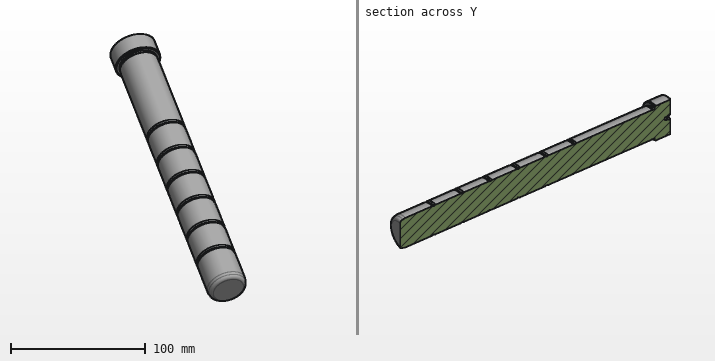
import cadquery as cq
import math

length = 240.0
head_length = 14.0
head_radius = 17.5
head_chamfer = 0.7
shank_diameter = 30.0
shank_radius = shank_diameter / 2

relief_depth = 0.2
relief_floor = 1.7
relief_ramp = 0.7

groove_count = 6
first_groove_x = 85.0
last_groove_x = 210.0
groove_pitch = (last_groove_x - first_groove_x) / (groove_count - 1)
groove_width = 3.0
groove_depth = 0.6

taper_length = 4.8
taper_drop = 0.6
tip_round = 2.6

center_mouth_radius = 2.6
center_mouth_angle = 60
pilot_radius = 1.2
pilot_length = 2.0
drill_tip_angle = 120


def turned_body():
    """Revolve the head, relief, shank and rounded tip about the X axis."""
    relief_end = head_length + relief_floor
    taper_end_radius = shank_radius - taper_drop
    half_profile = (
        cq.Workplane("XZ")
        .moveTo(0, 0)
        .lineTo(0, head_radius)
        .lineTo(head_length - head_chamfer, head_radius)
        .lineTo(head_length, head_radius - head_chamfer)
        .lineTo(head_length, shank_radius - relief_depth)
        .lineTo(relief_end, shank_radius - relief_depth)
        .lineTo(relief_end + relief_ramp, shank_radius)
        .lineTo(length - taper_length, shank_radius)
        .lineTo(length - tip_round, taper_end_radius)
        .radiusArc((length, taper_end_radius - tip_round), tip_round)
        .lineTo(length, 0)
        .close()
    )
    return half_profile.revolve(360, (0, 0, 0), (1, 0, 0))


def oil_groove(center_x):
    """Ring that cuts one V-shaped groove around the shank."""
    outer_radius = shank_radius + groove_depth
    start_x = center_x - groove_width / 2
    end_x = center_x + groove_width / 2
    section = (
        cq.Workplane("XZ")
        .moveTo(start_x, outer_radius)
        .lineTo(start_x, shank_radius)
        .lineTo(center_x, shank_radius - groove_depth)
        .lineTo(end_x, shank_radius)
        .lineTo(end_x, outer_radius)
        .close()
    )
    return section.revolve(360, (0, 0, 0), (1, 0, 0))


def center_hole():
    """Cutter for the countersunk pilot hole in the head face."""
    mouth_depth = (center_mouth_radius - pilot_radius) / math.tan(math.radians(center_mouth_angle / 2))
    pilot_end = mouth_depth + pilot_length
    tip_depth = pilot_radius / math.tan(math.radians(drill_tip_angle / 2))
    section = (
        cq.Workplane("XZ")
        .moveTo(0, 0)
        .lineTo(0, center_mouth_radius)
        .lineTo(mouth_depth, pilot_radius)
        .lineTo(pilot_end, pilot_radius)
        .lineTo(pilot_end + tip_depth, 0)
        .close()
    )
    return section.revolve(360, (0, 0, 0), (1, 0, 0))


body = turned_body().cut(center_hole())
for index in range(groove_count):
    body = body.cut(oil_groove(first_groove_x + index * groove_pitch))

result = body